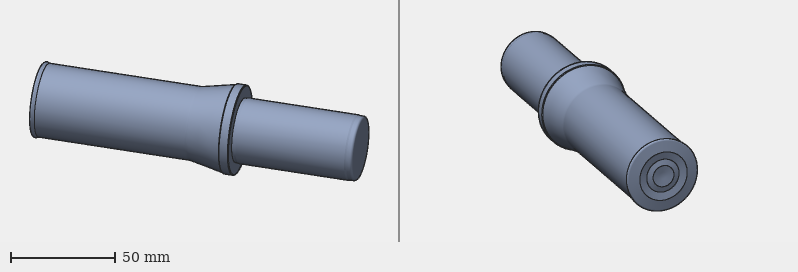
import cadquery as cq
import math

TOTAL_LENGTH = 161.0
SHANK_LENGTH = 60.0
FRONT_X = SHANK_LENGTH - TOTAL_LENGTH

HEAD_RADIUS = 18.5
CORNER_RADIUS = 1.0
RELIEF_ANGLE = math.radians(21.0)
SEAM_RADIUS = 16.8
RIDGE_RADIUS = 12.4
GROOVE_RADIUS = 8.45
INNER_RIDGE_RADIUS = 5.45
RIM_SLOPE = math.radians(9.0)
GROOVE_OUTER_SLOPE = math.radians(11.0)
GROOVE_INNER_SLOPE = math.radians(14.0)
CENTRE_SLOPE = math.radians(7.0)

BODY_RADIUS = 18.0
CONE_LENGTH = 17.0
CONE_BLEND_RADIUS = 6.5
FLANGE_RADIUS = 22.0
FLANGE_LENGTH = 5.0
FLANGE_CHAMFER = 0.4

SHANK_RADIUS = 16.0
SHANK_RELIEF_RADIUS = 15.75
SHANK_TAPER_LENGTH = 0.9
NECK_LENGTH = 1.1
SHANK_TIP_LENGTH = 2.9
SHANK_END_FILLET = 1.2

corner_centre_radius = HEAD_RADIUS - CORNER_RADIUS
corner_start_radius = corner_centre_radius + CORNER_RADIUS * math.sin(RIM_SLOPE)
corner_end_radius = corner_centre_radius + CORNER_RADIUS * math.cos(RELIEF_ANGLE)
corner_start_x = FRONT_X + (corner_start_radius - RIDGE_RADIUS) * math.tan(RIM_SLOPE)
corner_centre_x = corner_start_x + CORNER_RADIUS * math.cos(RIM_SLOPE)
corner_end_x = corner_centre_x + CORNER_RADIUS * math.sin(RELIEF_ANGLE)
head_back_x = corner_end_x + (corner_end_radius - BODY_RADIUS) / math.tan(RELIEF_ANGLE)


def revolve_about_axis(profile):
    return profile.close().revolve(360, (0, 0, 0), (1, 0, 0), clean=False)


def make_head():
    seam_x = FRONT_X + (SEAM_RADIUS - RIDGE_RADIUS) * math.tan(RIM_SLOPE)
    groove_x = FRONT_X + (RIDGE_RADIUS - GROOVE_RADIUS) * math.tan(GROOVE_OUTER_SLOPE)
    inner_ridge_x = groove_x - (GROOVE_RADIUS - INNER_RIDGE_RADIUS) * math.tan(GROOVE_INNER_SLOPE)
    centre_x = inner_ridge_x + INNER_RIDGE_RADIUS * math.tan(CENTRE_SLOPE)
    profile = (
        cq.Workplane("XZ")
        .moveTo(centre_x, 0)
        .lineTo(inner_ridge_x, INNER_RIDGE_RADIUS)
        .lineTo(groove_x, GROOVE_RADIUS)
        .lineTo(FRONT_X, RIDGE_RADIUS)
        .lineTo(seam_x, SEAM_RADIUS)
        .lineTo(corner_start_x, corner_start_radius)
        .threePointArc((corner_centre_x, HEAD_RADIUS), (corner_end_x, corner_end_radius))
        .lineTo(head_back_x, BODY_RADIUS)
        .lineTo(head_back_x, 0)
    )
    return revolve_about_axis(profile)


def make_body():
    flange_x = -FLANGE_LENGTH
    cone_start_x = flange_x - CONE_LENGTH
    cone_end_radius = FLANGE_RADIUS - FLANGE_CHAMFER
    cone_angle = math.atan2(cone_end_radius - BODY_RADIUS, CONE_LENGTH)

    blend_tangent = CONE_BLEND_RADIUS * math.tan(cone_angle / 2)
    blend_start = (cone_start_x - blend_tangent, BODY_RADIUS)
    blend_end = (
        cone_start_x + blend_tangent * math.cos(cone_angle),
        BODY_RADIUS + blend_tangent * math.sin(cone_angle),
    )
    tip_x = SHANK_LENGTH - SHANK_TIP_LENGTH

    profile = (
        cq.Workplane("XZ")
        .moveTo(head_back_x, 0)
        .lineTo(head_back_x, BODY_RADIUS)
        .lineTo(*blend_start)
        .tangentArcPoint(blend_end, relative=False)
        .lineTo(flange_x, cone_end_radius)
        .lineTo(flange_x + FLANGE_CHAMFER, FLANGE_RADIUS)
        .lineTo(-FLANGE_CHAMFER, FLANGE_RADIUS)
        .lineTo(0, FLANGE_RADIUS - FLANGE_CHAMFER)
        .lineTo(0, SHANK_RELIEF_RADIUS)
        .lineTo(NECK_LENGTH, SHANK_RELIEF_RADIUS)
        .lineTo(NECK_LENGTH + SHANK_TAPER_LENGTH, SHANK_RADIUS)
        .lineTo(tip_x - SHANK_TAPER_LENGTH, SHANK_RADIUS)
        .lineTo(tip_x, SHANK_RELIEF_RADIUS)
        .lineTo(SHANK_LENGTH, SHANK_RELIEF_RADIUS)
        .lineTo(SHANK_LENGTH, 0)
    )
    return revolve_about_axis(profile).faces(">X").edges().fillet(SHANK_END_FILLET)


head = make_head()
body = make_body()
result = cq.Compound.makeCompound([head.val(), body.val()])